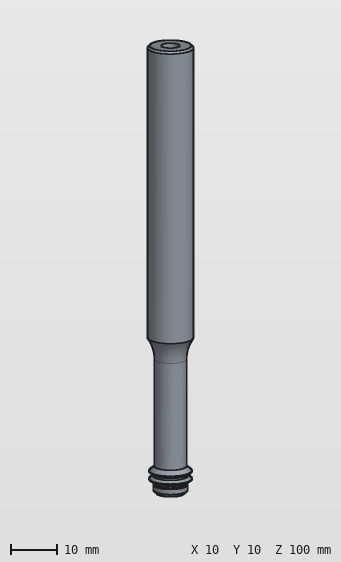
import cadquery as cq
import math

total_length = 100.0
shank_radius = 5.0
shank_chamfer = 0.5
shank_bottom = 34.8
neck_radius = 3.5
neck_top = 30.0

head_top = 6.1
barrel_radius = 3.75
tip_chamfer = 0.75
ring_radius = 4.65
ring_land = 0.2
upper_crest = 5.0
ring_pitch = 1.75
ring_flank_height = 0.55
relief_radius = 3.55
relief_bottom = 1.9
relief_top = 2.15

bore_radius = 2.0
bore_depth = total_length - shank_bottom
through_radius = 0.5


def arc_flare_midpoint():
    """Middle of the arc that leaves the neck tangentially and meets the shank."""
    rise = shank_bottom - neck_top
    flare = shank_radius - neck_radius
    arc_radius = (rise**2 + flare**2) / (2 * flare)
    half_angle = math.asin(rise / arc_radius) / 2
    return (
        neck_radius + arc_radius * (1 - math.cos(half_angle)),
        neck_top + arc_radius * math.sin(half_angle),
    )


def ring_points(crest, top_point):
    """Half section of one ring, upwards from its lower root to top_point."""
    return [
        (barrel_radius, crest - ring_land / 2 - ring_flank_height),
        (ring_radius, crest - ring_land / 2),
        (ring_radius, crest + ring_land / 2),
        top_point,
    ]


def make_body():
    """Revolve the outer half section about the Z axis."""
    lower_crest = upper_crest - ring_pitch
    lower_ring_top = (barrel_radius, lower_crest + ring_land / 2 + ring_flank_height)
    section = cq.Workplane("XZ").polyline(
        [
            (0, 0),
            (barrel_radius - tip_chamfer, 0),
            (barrel_radius, tip_chamfer),
            (barrel_radius, relief_bottom),
            (relief_radius, relief_bottom),
            (relief_radius, relief_top),
            (barrel_radius, relief_top),
        ]
        + ring_points(lower_crest, lower_ring_top)
        + ring_points(upper_crest, (neck_radius, head_top))
        + [(neck_radius, neck_top)]
    )
    section = (
        section.threePointArc(arc_flare_midpoint(), (shank_radius, shank_bottom))
        .lineTo(shank_radius, total_length - shank_chamfer)
        .lineTo(shank_radius - shank_chamfer, total_length)
        .lineTo(0, total_length)
        .close()
    )
    return section.revolve(360, (0, 0, 0), (0, 1, 0))


def make_bore():
    """Wide bore down the shank, with a narrow hole on through the tip."""
    wide = (
        cq.Workplane("XY")
        .workplane(offset=total_length - bore_depth)
        .circle(bore_radius)
        .extrude(bore_depth)
    )
    narrow = cq.Workplane("XY").circle(through_radius).extrude(total_length)
    return wide.union(narrow)


result = make_body().cut(make_bore())